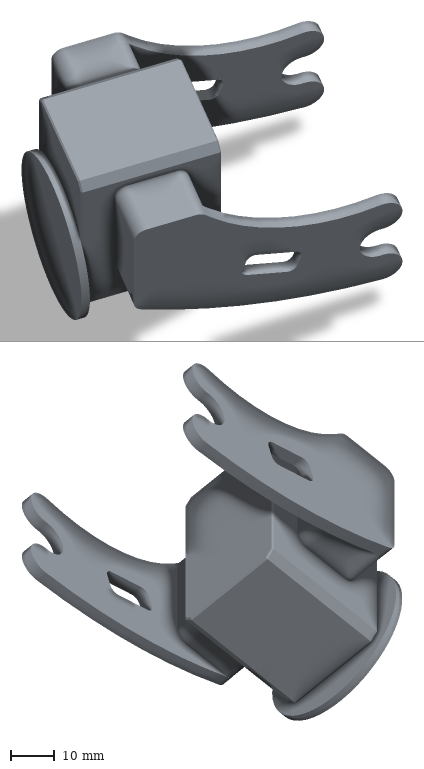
import cadquery as cq
import math


disc_diameter = 40.0
disc_thickness = 2.0

housing_width = 28.5
housing_depth = 34.0
housing_top = 35.25
housing_bottom = -11.25
long_edge_chamfer = 2.0
end_face_chamfer = 0.4

overall_width = 55.0
crossbar_front = 8.0
crossbar_depth = 18.0
crossbar_bottom = 1.0
crossbar_top = 31.0
crossbar_fillet = 3.0

arm_thickness = 3.0
arm_reach = 73.02
notch_radius = 5.0
notch_centre_y = 67.7
prong_radius = 4.64
upper_arc_centre = (60.2, 58.8)
lower_arc_centre = (73.9, 125.8)

window_length = 14.0
window_height = 7.0
window_fillet = 2.0
window_centre = (41.35, 4.15)
window_tilt = -18.5


def point_on_circle(centre, radius, angle):
    """Point of a circle in the YZ plane; the angle is in radians from +Y toward +Z."""
    return (centre[0] + radius * math.cos(angle), centre[1] + radius * math.sin(angle))


def direction(start, end):
    """Angle in radians of the line from start to end."""
    return math.atan2(end[1] - start[1], end[0] - start[0])


def make_disc():
    return cq.Workplane("XZ").circle(disc_diameter / 2).extrude(disc_thickness)


def make_housing():
    height = housing_top - housing_bottom
    housing = cq.Workplane("XY").box(housing_width, housing_depth, height)
    housing = housing.edges("|Y").chamfer(long_edge_chamfer)
    housing = housing.faces("<Y or >Y").chamfer(end_face_chamfer)
    return housing.translate((0, housing_depth / 2, housing_bottom + height / 2))


def make_crossbar():
    height = crossbar_top - crossbar_bottom
    crossbar = cq.Workplane("XY").box(overall_width - 2 * arm_thickness, crossbar_depth, height)
    crossbar = crossbar.edges("|X").fillet(crossbar_fillet)
    return crossbar.translate((0, crossbar_front + crossbar_depth / 2, crossbar_bottom + height / 2))


def make_arm():
    """Arm plate standing on the YZ plane and extending toward +X."""
    prong_y = arm_reach - prong_radius
    prong_z = math.sqrt((notch_radius + prong_radius) ** 2 - (prong_y - notch_centre_y) ** 2)
    upper_prong = (prong_y, prong_z)
    lower_prong = (prong_y, -prong_z)
    notch = (notch_centre_y, 0)

    upper_radius = math.dist(upper_arc_centre, upper_prong) - prong_radius
    upper_tangent_angle = direction(upper_arc_centre, upper_prong)
    upper_tangent = point_on_circle(upper_arc_centre, upper_radius, upper_tangent_angle)

    corner_centre = (crossbar_front + crossbar_depth - crossbar_fillet, crossbar_top - crossbar_fillet)
    centre_distance = math.dist(corner_centre, upper_arc_centre)
    shoulder_normal = direction(corner_centre, upper_arc_centre)
    shoulder_normal += math.acos((crossbar_fillet + upper_radius) / centre_distance)
    corner_middle_angle = (math.pi / 2 + shoulder_normal) / 2
    corner_middle = point_on_circle(corner_centre, crossbar_fillet, corner_middle_angle)
    corner_end = point_on_circle(corner_centre, crossbar_fillet, shoulder_normal)
    shoulder_tangent_angle = shoulder_normal - math.pi
    shoulder_tangent = point_on_circle(upper_arc_centre, upper_radius, shoulder_tangent_angle)
    upper_middle_angle = (upper_tangent_angle + shoulder_tangent_angle) / 2
    upper_middle = point_on_circle(upper_arc_centre, upper_radius, upper_middle_angle)

    lower_radius = math.dist(lower_arc_centre, lower_prong) + prong_radius
    lower_tangent_angle = direction(lower_arc_centre, lower_prong)
    lower_tangent = point_on_circle(lower_arc_centre, lower_radius, lower_tangent_angle)
    heel_angle = -math.acos((crossbar_front - lower_arc_centre[0]) / lower_radius)
    heel = point_on_circle(lower_arc_centre, lower_radius, heel_angle)
    lower_middle_angle = (lower_tangent_angle + heel_angle) / 2
    lower_middle = point_on_circle(lower_arc_centre, lower_radius, lower_middle_angle)

    upper_notch_tangent = point_on_circle(notch, notch_radius, direction(notch, upper_prong))
    lower_notch_tangent = point_on_circle(notch, notch_radius, direction(notch, lower_prong))

    arm = (
        cq.Workplane("YZ")
        .moveTo(crossbar_front, crossbar_top)
        .lineTo(corner_centre[0], crossbar_top)
        .threePointArc(corner_middle, corner_end)
        .lineTo(*shoulder_tangent)
        .threePointArc(upper_middle, upper_tangent)
        .threePointArc((arm_reach, prong_z), upper_notch_tangent)
        .threePointArc((notch_centre_y - notch_radius, 0), lower_notch_tangent)
        .threePointArc((arm_reach, -prong_z), lower_tangent)
        .threePointArc(lower_middle, heel)
        .close()
        .extrude(arm_thickness)
    )
    for corner in ((crossbar_front, crossbar_top), heel):
        corner_edge = cq.NearestToPointSelector((arm_thickness / 2, *corner))
        arm = arm.edges("|X").edges(corner_edge).fillet(crossbar_fillet)
    return arm.cut(make_window())


def make_window():
    window = cq.Workplane("YZ").rect(window_length, window_height).extrude(arm_thickness)
    window = window.edges("|X").fillet(window_fillet)
    window = window.rotate((0, 0, 0), (1, 0, 0), window_tilt)
    return window.translate((0, *window_centre))


left_arm = make_arm().translate((-overall_width / 2, 0, 0))
right_arm = left_arm.mirror("YZ")

result = make_housing().union(make_disc()).union(make_crossbar()).union(left_arm).union(right_arm)